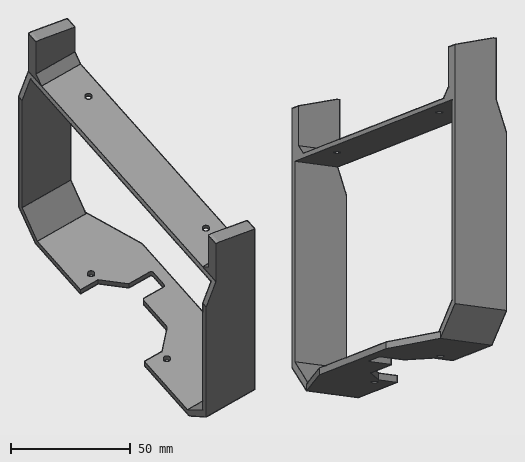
import cadquery as cq

WIDTH = 135.0
HEIGHT = 128.5
FRAME_DEPTH = 25.0
HALF_WIDTH = WIDTH / 2

SIDE_WALL = 2.5
FLOOR_THICKNESS = 3.0
CORNER_WIDTH = 12.2
CORNER_HEIGHT = 12.4
INNER_CORNER_WIDTH = 11.0
INNER_CORNER_HEIGHT = 11.5

BAR_TOP = 102.3
BAR_THICKNESS = 2.0
POST_WIDTH = 5.5
GUSSET = 4.0

UPPER_SETBACK = 5.0
SETBACK_START = 88.5
POST_TOP_DROP = 5.0
POST_TOP_FLAT = 1.5

TONGUE_DEPTH = 10.0
TONGUE_HALF_WIDTH = 27.7

RECESS_HALF_WIDTH = 23.0
RECESS_INNER_HALF_WIDTH = 13.8
RECESS_STRAIGHT = 9.0
RECESS_DEPTH = RECESS_STRAIGHT + RECESS_HALF_WIDTH - RECESS_INNER_HALF_WIDTH
SLOT_WIDTH = 9.7
SLOT_END = 30.0
SLOT_FILLET = 1.1

HOLE_DIAMETER = 3.0
BAR_HOLE_X = 42.3
BAR_HOLE_Y = 17.8
FLOOR_HOLE_X = 27.3
FLOOR_HOLE_Y = 8.5


def mirrored_outline(workplane, right_half):
    """Close an outline from its right-hand points and their mirror images."""
    left_half = [(-x, v) for x, v in reversed(right_half)]
    return workplane.polyline(right_half + left_half).close()


def extrude_back(right_half):
    """Extrude a symmetric XZ outline from the front to the back of the frame."""
    return mirrored_outline(cq.Workplane("XZ"), right_half).extrude(-FRAME_DEPTH)


def make_frame():
    post_inner = HALF_WIDTH - POST_WIDTH
    outer = [
        (HALF_WIDTH - CORNER_WIDTH, 0),
        (HALF_WIDTH, CORNER_HEIGHT),
        (HALF_WIDTH, HEIGHT),
        (post_inner, HEIGHT),
        (post_inner, BAR_TOP + GUSSET),
        (post_inner - GUSSET, BAR_TOP),
    ]
    window_half = HALF_WIDTH - SIDE_WALL
    window = [
        (window_half - INNER_CORNER_WIDTH, FLOOR_THICKNESS),
        (window_half, FLOOR_THICKNESS + INNER_CORNER_HEIGHT),
        (window_half, BAR_TOP - BAR_THICKNESS),
    ]
    return extrude_back(outer).cut(extrude_back(window))


def make_side_envelope():
    """Solid across the full width that trims the frame to its side profile."""
    profile = [
        (0, 0),
        (0, SETBACK_START),
        (UPPER_SETBACK, BAR_TOP),
        (UPPER_SETBACK, HEIGHT),
        (UPPER_SETBACK + POST_TOP_FLAT, HEIGHT),
        (FRAME_DEPTH, HEIGHT - POST_TOP_DROP),
        (FRAME_DEPTH, 0),
    ]
    return cq.Workplane("YZ").polyline(profile).close().extrude(HALF_WIDTH, both=True)


def make_tongue():
    outline = [
        (HALF_WIDTH - CORNER_WIDTH, FRAME_DEPTH),
        (TONGUE_HALF_WIDTH, FRAME_DEPTH + TONGUE_DEPTH),
    ]
    return mirrored_outline(cq.Workplane("XY"), outline).extrude(FLOOR_THICKNESS)


def make_floor_recess():
    slot_left = -RECESS_INNER_HALF_WIDTH
    slot_right = slot_left + SLOT_WIDTH
    outline = [
        (-RECESS_HALF_WIDTH, 0),
        (-RECESS_HALF_WIDTH, RECESS_STRAIGHT),
        (slot_left, RECESS_DEPTH),
        (slot_left, SLOT_END),
        (slot_right, SLOT_END),
        (slot_right, RECESS_DEPTH),
        (RECESS_INNER_HALF_WIDTH, RECESS_DEPTH),
        (RECESS_HALF_WIDTH, RECESS_STRAIGHT),
        (RECESS_HALF_WIDTH, 0),
    ]
    recess = cq.Workplane("XY").polyline(outline).close().extrude(FLOOR_THICKNESS)
    slot_corners = [(slot_left, SLOT_END), (slot_right, SLOT_END), (slot_right, RECESS_DEPTH)]
    for x, y in slot_corners:
        corner = cq.selectors.NearestToPointSelector((x, y, FLOOR_THICKNESS / 2))
        recess = recess.edges("|Z").edges(corner).fillet(SLOT_FILLET)
    return recess


def make_hole_pair(x, y, bottom, depth):
    plane = cq.Workplane("XY", origin=(0, 0, bottom))
    return plane.pushPoints([(-x, y), (x, y)]).circle(HOLE_DIAMETER / 2).extrude(depth)


result = make_frame().intersect(make_side_envelope())
result = result.union(make_tongue())
result = result.cut(make_floor_recess())
result = result.cut(make_hole_pair(BAR_HOLE_X, BAR_HOLE_Y, BAR_TOP - BAR_THICKNESS, BAR_THICKNESS))
result = result.cut(make_hole_pair(FLOOR_HOLE_X, FLOOR_HOLE_Y, 0, FLOOR_THICKNESS))